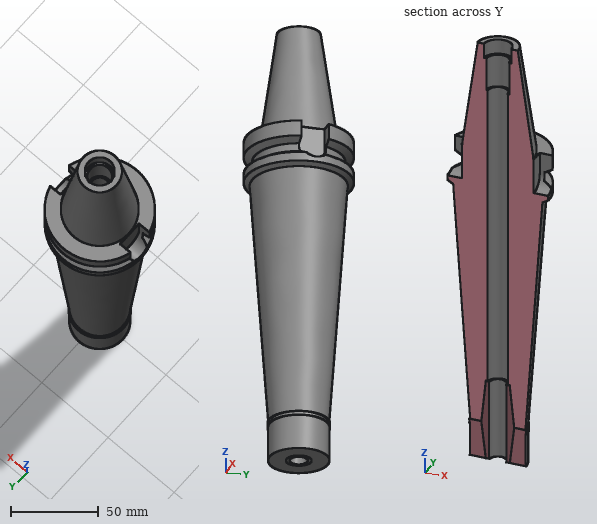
import cadquery as cq
import math

TOTAL_LENGTH = 265.5

TAPER_LENGTH = 65.3
TAPER_LARGE_DIAMETER = 44.3
TAPER_RATE = 7 / 24
TAPER_SMALL_DIAMETER = TAPER_LARGE_DIAMETER - TAPER_LENGTH * TAPER_RATE
GAUGE_COLLAR_LENGTH = 2.0

FLANGE_DIAMETER = 63.0
FLANGE_LENGTH = 25.0
FLANGE_CHAMFER_LENGTH = 2.0
GROOVE_DEPTH = 4.8
GROOVE_FLANK_ANGLE = 30.0
GROOVE_FLANK_LENGTH = GROOVE_DEPTH * math.tan(math.radians(GROOVE_FLANK_ANGLE))
GROOVE_WIDTH = 10.4
UPPER_RIM_LENGTH = 9.3

SLOT_WIDTH = 16.2
SLOT_DEPTH_ALONG_AXIS = 21.8
SLOT_FLOOR_DISTANCE = 22.5

SHANK_UPPER_DIAMETER = 56.0
SHANK_LOWER_DIAMETER = 34.8

NUT_DIAMETER = 35.0
NUT_BODY_LENGTH = 20.7
NUT_COLLAR_DIAMETER = 35.8
NUT_COLLAR_LENGTH = 2.5

COLLET_BORE_DIAMETER = 10.4
COLLET_MIDDLE_DIAMETER = 20.2
COLLET_FRONT_DIAMETER = 14.5
COLLET_BACK_DIAMETER = 14.5
COLLET_BACK_LENGTH = 26.5

BORE_DIAMETER = 12.2
THREAD_BORE_DIAMETER = 14.0
THREAD_BORE_DEPTH = 29.2
PILOT_BORE_DIAMETER = 17.0
PILOT_BORE_DEPTH = 9.0

NUT_TOP = NUT_BODY_LENGTH + NUT_COLLAR_LENGTH
COLLET_TOP = NUT_TOP + COLLET_BACK_LENGTH
GAUGE_HEIGHT = TOTAL_LENGTH - TAPER_LENGTH
FLANGE_TOP = GAUGE_HEIGHT - GAUGE_COLLAR_LENGTH
FLANGE_BOTTOM = FLANGE_TOP - FLANGE_LENGTH
SHANK_TOP = FLANGE_BOTTOM - FLANGE_CHAMFER_LENGTH
GROOVE_TOP = FLANGE_TOP - UPPER_RIM_LENGTH
GROOVE_BOTTOM = GROOVE_TOP - GROOVE_WIDTH


def revolved(profile):
    """Solid of revolution about Z from (radius, height) points."""
    return cq.Workplane("XZ").polyline(profile).close().revolve(360, (0, 0, 0), (0, 1, 0))


def collet_envelope():
    """Outer shape of the collet, which is also its seat in the nut and the holder."""
    return revolved([
        (0, 0),
        (COLLET_FRONT_DIAMETER / 2, 0),
        (COLLET_MIDDLE_DIAMETER / 2, NUT_TOP),
        (COLLET_BACK_DIAMETER / 2, COLLET_TOP),
        (0, COLLET_TOP),
    ])


def top_bore(diameter, depth):
    """Round cutter that goes down into the top end of the taper."""
    return cq.Workplane("XY", origin=(0, 0, TOTAL_LENGTH - depth)).circle(diameter / 2).extrude(depth)


def drive_slot_outline():
    """Slot with a half-round lower end, open at the flange top."""
    half_width = SLOT_WIDTH / 2
    slot_bottom = FLANGE_TOP - SLOT_DEPTH_ALONG_AXIS
    return (
        cq.Workplane("YZ")
        .moveTo(half_width, FLANGE_TOP)
        .lineTo(half_width, slot_bottom + half_width)
        .threePointArc((0, slot_bottom), (-half_width, slot_bottom + half_width))
        .lineTo(-half_width, FLANGE_TOP)
        .close()
    )


def make_holder():
    flange_radius = FLANGE_DIAMETER / 2
    groove_radius = flange_radius - GROOVE_DEPTH
    profile = [
        (0, NUT_TOP),
        (SHANK_LOWER_DIAMETER / 2, NUT_TOP),
        (SHANK_UPPER_DIAMETER / 2, SHANK_TOP),
        (flange_radius, FLANGE_BOTTOM),
        (flange_radius, GROOVE_BOTTOM),
        (groove_radius, GROOVE_BOTTOM + GROOVE_FLANK_LENGTH),
        (groove_radius, GROOVE_TOP - GROOVE_FLANK_LENGTH),
        (flange_radius, GROOVE_TOP),
        (flange_radius, FLANGE_TOP),
        (TAPER_LARGE_DIAMETER / 2, FLANGE_TOP),
        (TAPER_LARGE_DIAMETER / 2, GAUGE_HEIGHT),
        (TAPER_SMALL_DIAMETER / 2, TOTAL_LENGTH),
        (0, TOTAL_LENGTH),
    ]
    holder = revolved(profile)

    slot_reach = flange_radius - SLOT_FLOOR_DISTANCE
    for side in (1, -1):
        slot = drive_slot_outline().extrude(side * slot_reach).translate((side * SLOT_FLOOR_DISTANCE, 0, 0))
        holder = holder.cut(slot)

    holder = holder.cut(collet_envelope())
    holder = holder.cut(top_bore(BORE_DIAMETER, TOTAL_LENGTH - NUT_TOP))
    holder = holder.cut(top_bore(THREAD_BORE_DIAMETER, THREAD_BORE_DEPTH))
    return holder.cut(top_bore(PILOT_BORE_DIAMETER, PILOT_BORE_DEPTH))


def make_nut():
    nut = revolved([
        (0, 0),
        (NUT_DIAMETER / 2, 0),
        (NUT_DIAMETER / 2, NUT_BODY_LENGTH),
        (NUT_COLLAR_DIAMETER / 2, NUT_BODY_LENGTH),
        (NUT_COLLAR_DIAMETER / 2, NUT_TOP),
        (0, NUT_TOP),
    ])
    return nut.cut(collet_envelope())


def make_collet():
    bore = cq.Workplane("XY").circle(COLLET_BORE_DIAMETER / 2).extrude(COLLET_TOP)
    return collet_envelope().cut(bore)


holder = make_holder()
nut = make_nut()
collet = make_collet()

result = cq.Compound.makeCompound([holder.val(), nut.val(), collet.val()])